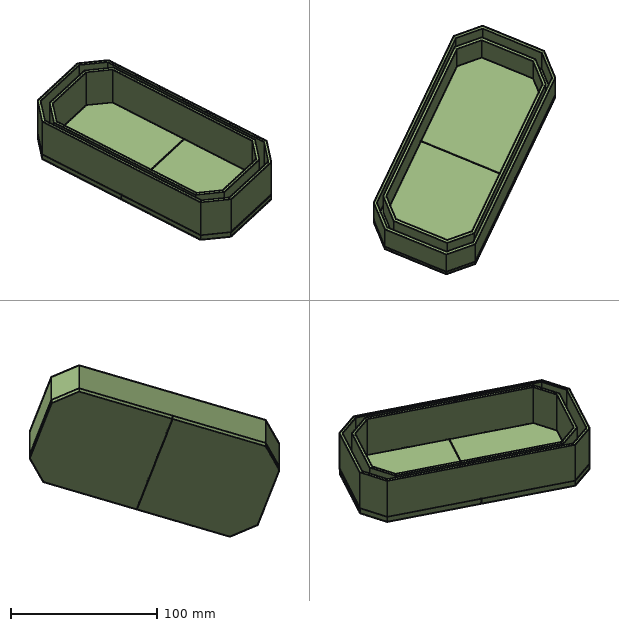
import cadquery as cq
import math

length = 165.0
width = 76.0
height = 35.5
corner_cut = 15.0

wall = 2.0
end_channel = 6.1
side_channel = 2.0
inner_corner_cut = 14.0
channel_floor = 2.0

base_thickness = 4.5
base_floor = 2.0
seam_gap = 0.25
end_clearance = 0.25

frame_height = height - base_thickness
inner_length = length - 2 * (wall + end_channel)
inner_width = width - 2 * (wall + side_channel)
cut_reduction = wall * (2 - math.sqrt(2))


def octagon_prism(size_x, size_y, cut, depth, bottom):
    """Rectangular prism centred on Z with its four upright corners cut off."""
    return (
        cq.Workplane("XY")
        .workplane(offset=bottom)
        .rect(size_x, size_y)
        .extrude(depth)
        .edges("|Z")
        .chamfer(cut)
    )


def inset_prism(size_x, size_y, cut, depth, bottom):
    """Octagonal prism set inward by one wall thickness on every side."""
    return octagon_prism(size_x - 2 * wall, size_y - 2 * wall, cut - cut_reduction, depth, bottom)


def make_frame():
    """Outer and inner walls joined by the floor of the channel between them."""
    channel_bottom = base_thickness + channel_floor
    channel_depth = frame_height - channel_floor
    block = octagon_prism(length, width, corner_cut, frame_height, base_thickness)
    channel = inset_prism(length, width, corner_cut, channel_depth, channel_bottom).cut(
        octagon_prism(inner_length, inner_width, inner_corner_cut, channel_depth, channel_bottom)
    )
    opening = inset_prism(inner_length, inner_width, inner_corner_cut, frame_height, base_thickness)
    return block.cut(channel).cut(opening)


def make_base_half(start_x, end_x):
    """Part of the recessed octagonal base between two X positions."""
    plate = octagon_prism(length, width, corner_cut, base_thickness, 0)
    recess = inset_prism(length, width, corner_cut, base_thickness - base_floor, base_floor)
    span = (
        cq.Workplane("XY")
        .center((start_x + end_x) / 2, 0)
        .rect(end_x - start_x, width)
        .extrude(base_thickness)
    )
    return plate.cut(recess).intersect(span)


frame = make_frame()

base_spans = [
    (-length / 2, -seam_gap),
    (0, length / 2 - end_clearance),
]
base_halves = [make_base_half(start_x, end_x) for start_x, end_x in base_spans]

result = cq.Compound.makeCompound([frame.val(), *[half.val() for half in base_halves]])